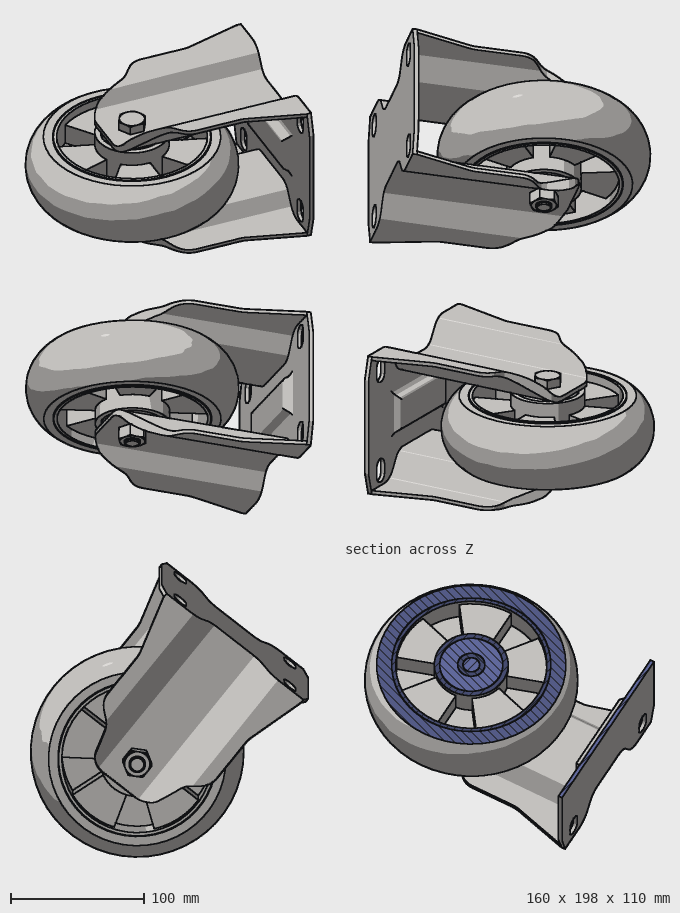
import cadquery as cq
import math

overall_length = 198.0
tyre_radius = 80.0
plate_back_y = overall_length - tyre_radius

plate_thickness = 3.4
fork_half_height = 55.0
arm_outer_z = 34.5
arm_inner_z = 30.9
flange_inner_z = 52.0
outer_step_start = 16.2
inner_step_start = 19.6
low_bend_radius = 12.0
high_bend_radius = 15.2
bend_angle = math.radians(58.0)

arm_root_half_width = 65.5
arm_waist_half_width = 52.3
arm_waist_depth = 49.9
arm_shoulder_depth = 94.6
arm_neck_half_width = 37.2
arm_neck_depth = 107.3
arm_tip_half_width = 26.3
arm_tip_depth = 140.5
arm_corner_radius = 15.2
arm_waist_radius = 20.0

plate_half_width = 70.0
plate_end_half_width = 65.3
plate_taper_z = 37.5
slot_width = 11.0
slot_length = 18.5
slot_x = 52.5
slot_z = 40.0

pad_rise = 6.0
pad_half_width = 38.2
pad_end_foot_radius = 4.5
pad_end_edge_radius = 2.0
pad_end_angle = math.radians(67.0)
pad_half_height = 19.6
pad_side_foot_radius = 6.3
pad_side_edge_radius = 2.8
pad_side_angle = math.radians(56.0)

tyre_half_width = 25.3
tyre_face_radius = 66.5
tyre_bore_radius = 119.0 / 2
rim_face_radius = 118.0 / 2
rim_inner_radius = 113.0 / 2
hub_radius = 28.0
hub_half_length = 29.3
spoke_count = 5
spoke_face_z = 18.2
web_half_thickness = 2.0
spoke_half_angle = math.radians(18.0)
spoke_side_offset = 2.5

bearing_radius = 47.0 / 2
bearing_width = 14.0
bearing_recess = 1.0

bolt_radius = 12.0 / 2
sleeve_radius = 20.0 / 2
hex_across_flats = 19.0
head_height = 7.1
nut_height = 9.5
bolt_end_overhang = 2.0
bolt_end_chamfer = 1.0
hex_corner_chamfer = 0.5


def mirrored(solid, plane):
    return solid.union(solid.mirror(plane))


def step_curve(start, low, high, low_radius, high_radius, angle):
    """Return the points of a step that rises from a low to a high level: bend, straight, bend.

    Each bend is given by its start, middle and end, and is tangent to the straight and to the level.
    """
    bends_run = (low_radius + high_radius) * math.sin(angle)
    bends_rise = (low_radius + high_radius) * (1 - math.cos(angle))
    straight_run = (high - low - bends_rise) / math.tan(angle)
    end = start + bends_run + straight_run

    def low_bend(turn):
        return (start + low_radius * math.sin(turn), low + low_radius * (1 - math.cos(turn)))

    def high_bend(turn):
        return (end - high_radius * math.sin(turn), high - high_radius * (1 - math.cos(turn)))

    turns = [0, angle / 2, angle]
    return [low_bend(turn) for turn in turns] + [high_bend(turn) for turn in reversed(turns)]


def draw_step(path, points):
    start, first_middle, first_end, second_start, second_middle, second_end = points
    return (
        path.lineTo(*start)
        .threePointArc(first_middle, first_end)
        .lineTo(*second_start)
        .threePointArc(second_middle, second_end)
    )


back_plane = cq.Workplane("XZ", origin=(0, plate_back_y, 0))
arm_bends = (low_bend_radius, high_bend_radius, bend_angle)
outer_step = step_curve(outer_step_start, arm_outer_z, fork_half_height, *arm_bends)
inner_step = step_curve(inner_step_start, arm_inner_z, flange_inner_z, *arm_bends)


def make_arm():
    """The upper arm: a stepped section along Y, trimmed to its plan outline."""
    path = draw_step(back_plane.moveTo(0, arm_outer_z), outer_step)
    path = path.lineTo(plate_half_width, fork_half_height).lineTo(plate_half_width, flange_inner_z)
    path = draw_step(path, inner_step[::-1]).lineTo(0, arm_inner_z)
    section = mirrored(path.close().extrude(arm_tip_depth), "YZ")

    right_side = [
        (arm_root_half_width, 0),
        (arm_root_half_width, plate_thickness),
        (arm_waist_half_width, arm_waist_depth),
        (arm_waist_half_width, arm_shoulder_depth),
        (arm_neck_half_width, arm_neck_depth),
        (arm_tip_half_width, arm_tip_depth),
    ]
    left_side = [(-x, depth) for x, depth in reversed(right_side)]
    outline = [(x, plate_back_y - depth) for x, depth in right_side + left_side]
    plan = cq.Workplane("XY").polyline(outline).close().extrude(fork_half_height)
    rounded_corners = [
        (arm_waist_half_width, arm_waist_depth, arm_waist_radius),
        (arm_waist_half_width, arm_shoulder_depth, arm_corner_radius),
        (arm_neck_half_width, arm_neck_depth, arm_corner_radius),
        (arm_tip_half_width, arm_tip_depth, arm_corner_radius),
    ]
    for half_width, depth, radius in rounded_corners:
        for x in (-half_width, half_width):
            corner = cq.selectors.NearestToPointSelector((x, plate_back_y - depth, fork_half_height / 2))
            plan = plan.edges("|Z").edges(corner).fillet(radius)
    return section.intersect(plan)


def make_plate():
    path = draw_step(back_plane.moveTo(0, 0).lineTo(0, arm_outer_z), outer_step)
    path = (
        path.lineTo(plate_end_half_width, fork_half_height)
        .lineTo(plate_half_width, plate_taper_z)
        .lineTo(plate_half_width, 0)
    )
    plate = mirrored(mirrored(path.close().extrude(plate_thickness), "YZ"), "XY")
    slots = (
        back_plane.rect(2 * slot_x, 2 * slot_z, forConstruction=True)
        .vertices()
        .slot2D(slot_length, slot_width, 90)
        .extrude(plate_thickness)
    )
    return plate.cut(slots)


def pad_ridge(plane, half_span, half_length, foot_radius, edge_radius, angle):
    """A ridge on the XY plane or the ZY plane, with both flanks curved at the foot and at the top edge."""
    foot_y = plate_back_y - plate_thickness
    flank = step_curve(0, 0, pad_rise, foot_radius, edge_radius, angle)
    left = [(inset - half_span, foot_y - height) for inset, height in flank]
    right = [(-across, y) for across, y in reversed(left)]
    path = draw_step(cq.Workplane(plane).moveTo(-half_span, plate_back_y), left)
    path = draw_step(path, right).lineTo(half_span, plate_back_y)
    return path.close().extrude(half_length, both=True)


def make_pad():
    """The pad is where two crossing ridges overlap, so its corners are mitred."""
    across_x = pad_ridge(
        "XY", pad_half_width, pad_half_height, pad_end_foot_radius, pad_end_edge_radius, pad_end_angle
    )
    across_z = pad_ridge(
        "ZY", pad_half_height, pad_half_width, pad_side_foot_radius, pad_side_edge_radius, pad_side_angle
    )
    return across_x.intersect(across_z)


def make_fork():
    arms = mirrored(make_arm(), "XY")
    axle_hole = cq.Workplane("XY").circle(bolt_radius).extrude(fork_half_height, both=True)
    return make_plate().union(make_pad()).union(arms).cut(axle_hole)


def make_tyre():
    return (
        cq.Workplane("XZ")
        .moveTo(tyre_bore_radius, -tyre_half_width)
        .lineTo(tyre_face_radius, -tyre_half_width)
        .threePointArc((tyre_radius, 0), (tyre_face_radius, tyre_half_width))
        .lineTo(tyre_bore_radius, tyre_half_width)
        .close()
        .revolve(360, (0, 0), (0, 1))
    )


def make_spoke():
    """One raised sector pointing along -Y, with straight sides."""
    start_half_width = spoke_side_offset / math.cos(spoke_half_angle)
    end_half_width = start_half_width + rim_face_radius * math.tan(spoke_half_angle)
    sector = [
        (-start_half_width, 0),
        (start_half_width, 0),
        (end_half_width, -rim_face_radius),
        (-end_half_width, -rim_face_radius),
    ]
    rim_disc = cq.Workplane("XY").circle(rim_face_radius).extrude(spoke_face_z, both=True)
    spoke = cq.Workplane("XY").polyline(sector).close().extrude(spoke_face_z, both=True)
    return spoke.intersect(rim_disc)


def make_hub():
    """Rim, web, raised spokes and a central boss with a bearing seat at each end."""
    web = cq.Workplane("XY").circle(tyre_bore_radius).extrude(web_half_thickness, both=True)
    rim_chamfer = tyre_bore_radius - rim_face_radius
    rim = (
        cq.Workplane("XY")
        .circle(tyre_bore_radius)
        .extrude(tyre_half_width, both=True)
        .faces("<Z or >Z")
        .chamfer(rim_chamfer)
        .cut(cq.Workplane("XY").circle(rim_inner_radius).extrude(tyre_half_width, both=True))
    )
    boss = cq.Workplane("XY").circle(hub_radius).extrude(hub_half_length, both=True)
    hub = web.union(rim).union(boss)
    spoke = make_spoke()
    for index in range(spoke_count):
        hub = hub.union(spoke.rotate((0, 0, 0), (0, 0, 1), index * 360 / spoke_count))
    hub = hub.cut(cq.Workplane("XY").circle(sleeve_radius).extrude(hub_half_length, both=True))
    seat = (
        cq.Workplane("XY", origin=(0, 0, hub_half_length - bearing_recess - bearing_width))
        .circle(bearing_radius)
        .extrude(bearing_width + bearing_recess)
    )
    return hub.cut(seat).cut(seat.mirror("XY"))


def make_bearing(bottom_z):
    return (
        cq.Workplane("XY", origin=(0, 0, bottom_z))
        .circle(bearing_radius)
        .circle(sleeve_radius)
        .extrude(bearing_width)
    )


def make_sleeve():
    """The spacer tube that runs between the two arms, through both bearings."""
    return cq.Workplane("XY").circle(sleeve_radius).circle(bolt_radius).extrude(arm_inner_z, both=True)


def hexagon(height):
    """A hexagonal prism standing on z = 0, corners on the Y axis, its top corners turned off."""
    corner_radius = hex_across_flats / math.sqrt(3)
    prism = cq.Workplane("XY").polygon(6, 2 * corner_radius).extrude(height).rotate((0, 0, 0), (0, 0, 1), 30)
    turned = (
        cq.Workplane("XY")
        .circle(corner_radius)
        .extrude(height)
        .faces(">Z")
        .chamfer(hex_corner_chamfer, corner_radius - hex_across_flats / 2)
    )
    return prism.intersect(turned)


def make_bolt():
    shank_length = 2 * arm_outer_z + nut_height + bolt_end_overhang
    shank = (
        cq.Workplane("XY", origin=(0, 0, arm_outer_z))
        .circle(bolt_radius)
        .extrude(-shank_length)
        .faces("<Z")
        .chamfer(bolt_end_chamfer)
    )
    return shank.union(hexagon(head_height).translate((0, 0, arm_outer_z)))


def make_nut():
    nut = hexagon(nut_height).cut(cq.Workplane("XY").circle(bolt_radius).extrude(nut_height))
    return nut.mirror("XY").translate((0, 0, -arm_outer_z))


fork = make_fork()
tyre = make_tyre()
hub = make_hub()
bearing_outer_end = hub_half_length - bearing_recess
bearing_bottoms = (bearing_outer_end - bearing_width, -bearing_outer_end)
bearings = [make_bearing(bottom_z).val() for bottom_z in bearing_bottoms]
sleeve = make_sleeve()
bolt = make_bolt()
nut = make_nut()

result = cq.Compound.makeCompound(
    [fork.val(), tyre.val(), hub.val(), *bearings, sleeve.val(), bolt.val(), nut.val()]
)